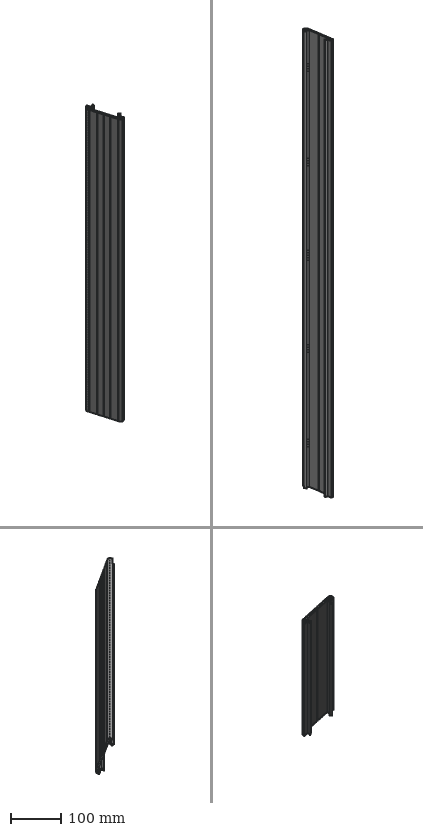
import cadquery as cq

length = 1000.0
width = 80.0
depth = 16.0
wall = 2.5
plate_thickness = 4.0
edge_height = 9.0
corner_radius = 6.0
leg_outer_x = 30.0
barb_reach = 2.5
barb_height = 6.0
barb_tip_height = 3.0
groove_width = 2.0
groove_depth = 1.0
groove_spacing = 14.0
outer_groove_x = 31.0

half_width = width / 2
front_y = -depth / 2
back_y = depth / 2
plate_back_y = front_y + plate_thickness
rail_top_y = front_y + edge_height
leg_inner_x = leg_outer_x - wall


def extrude_outline(points):
    """Run a closed XY outline along the full length."""
    return cq.Workplane("XY", origin=(0, 0, -length / 2)).polyline(points).close().extrude(length)


def box_between(x_min, x_max, y_min, y_max):
    """Full-length bar with a rectangular section."""
    return extrude_outline([(x_min, y_min), (x_max, y_min), (x_max, y_max), (x_min, y_max)])


def v_groove(x, face_y, inward):
    """Cutter for a V groove; inward is +1 or -1 along Y, into the plate."""
    return extrude_outline([
        (x - groove_width / 2, face_y),
        (x, face_y + inward * groove_depth),
        (x + groove_width / 2, face_y),
    ])


def snap_leg():
    """Leg at the +X end, with a pointed barb and a slanted lead-in facing the middle."""
    return extrude_outline([
        (leg_outer_x, plate_back_y),
        (leg_outer_x, back_y),
        (leg_inner_x - barb_reach, back_y - barb_tip_height),
        (leg_inner_x, back_y - barb_height),
        (leg_inner_x, plate_back_y),
    ])


def edge_rail():
    """Hollow rail at the +X end, closed on the inside by the snap leg."""
    rail = box_between(leg_inner_x, half_width, plate_back_y, rail_top_y)
    cavity = box_between(leg_outer_x, half_width - wall, plate_back_y, rail_top_y - wall)
    return rail.cut(cavity)


result = box_between(-half_width, half_width, front_y, plate_back_y)

end_section = edge_rail().union(snap_leg())
result = result.union(end_section).union(end_section.mirror("YZ"))

result = result.faces("<Y").edges("<X or >X").fillet(corner_radius)

for groove_x in (-outer_groove_x, -groove_spacing, 0, groove_spacing, outer_groove_x):
    result = result.cut(v_groove(groove_x, front_y, 1))
result = result.cut(v_groove(0, plate_back_y, -1))